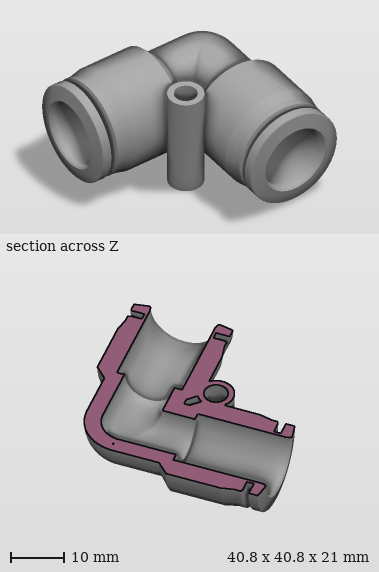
import cadquery as cq

leg_length = 30.255
body_radius = 10.495

pipe_radius = 8.25
passage_radius = 4.97

shoulder_start = 9.3
shoulder_end = shoulder_start + body_radius - pipe_radius
taper_start = 22.4
taper_end = 25.0
body_end = 26.53
body_end_bevel = 0.2
body_end_radius = 9.3
rim_radius = 9.95

neck_radius = 7.2
flange_start = 27.85
flange_edge = 29.6
flange_chamfer = 0.12

mouth_radius = 6.93
lead_in_radius = 6.65
socket_radius = 6.48
mouth_depth = 0.35
lead_in_depth = 1.05
socket_floor = shoulder_end

eyelet_offset = 12.8
eyelet_radius = 3.5
eyelet_hole_radius = 2.25


def revolve_about_x(points):
    """Revolve a closed (axial position, radius) outline about the X axis."""
    return cq.Workplane("XY").polyline(points).close().revolve(360, (0, 0, 0), (1, 0, 0))


def along_both_legs(shape):
    """Place a shape on the +X leg and a copy on the -Y leg."""
    return shape.union(shape.rotate((0, 0, 0), (1, -1, 0), 180))


def leg_exterior():
    return revolve_about_x([
        (0, 0),
        (0, pipe_radius),
        (shoulder_start, pipe_radius),
        (shoulder_end, body_radius),
        (taper_start, body_radius),
        (taper_end, rim_radius),
        (body_end - body_end_bevel, rim_radius),
        (body_end, body_end_radius),
        (body_end, neck_radius),
        (flange_start, neck_radius),
        (flange_start, rim_radius),
        (flange_edge, rim_radius),
        (flange_edge + flange_chamfer, rim_radius - flange_chamfer),
        (leg_length, mouth_radius),
        (leg_length, 0),
    ])


def leg_cavity():
    return revolve_about_x([
        (0, 0),
        (0, passage_radius),
        (socket_floor, passage_radius),
        (socket_floor, socket_radius),
        (leg_length - lead_in_depth, socket_radius),
        (leg_length - mouth_depth, lead_in_radius),
        (leg_length, mouth_radius),
        (leg_length, 0),
    ])


def eyelet_cylinder(radius):
    return (
        cq.Workplane("XY")
        .center(eyelet_offset, -eyelet_offset)
        .circle(radius)
        .extrude(body_radius, both=True)
    )


exterior = along_both_legs(leg_exterior()).union(cq.Workplane("XY").sphere(pipe_radius))
cavity = along_both_legs(leg_cavity()).union(cq.Workplane("XY").sphere(passage_radius))

result = (
    exterior
    .union(eyelet_cylinder(eyelet_radius))
    .cut(cavity)
    .cut(eyelet_cylinder(eyelet_hole_radius))
)